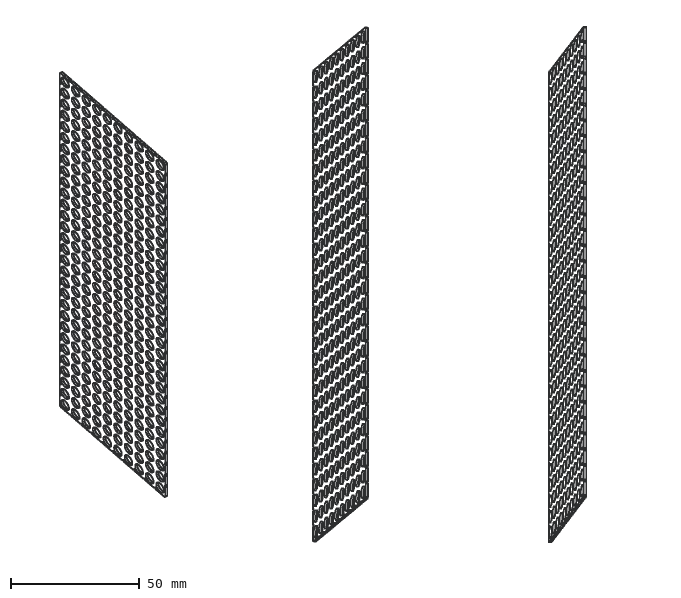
import cadquery as cq

height = 190.5
thickness = 0.97
columns = 10
rows = 30
pitch = height / rows
width = columns * pitch

web = 1.73
hole_diameter = pitch - web

corner_cut = 0.51
diamond_sides = 4


def grid_on_front(plate, across, up, across_count, up_count):
    """Points of a rectangular grid centred on the -Y face of the plate."""
    front = plate.faces("<Y").workplane(centerOption="CenterOfBoundBox")
    return front.rarray(across, up, across_count, up_count)


def cut_diamonds(points):
    """Cut a diamond through the plate at each point, reaching corner_cut along X and Z."""
    return points.polygon(diamond_sides, 2 * corner_cut).cutThruAll()


plate = cq.Workplane("XZ").box(width, height, thickness)

plate = cut_diamonds(grid_on_front(plate, pitch, height, columns + 1, 2))
plate = cut_diamonds(grid_on_front(plate, width, pitch, 2, rows + 1))

result = grid_on_front(plate, pitch, pitch, columns, rows).hole(hole_diameter)